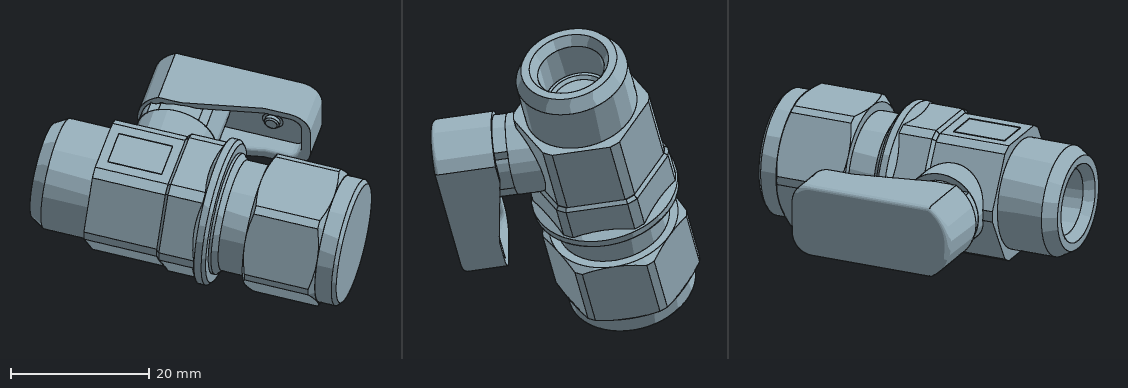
import cadquery as cq
import math

LENGTH = 46.8

INLET_RADIUS = 8.25
INLET_BEVEL_LENGTH = 2.0
INLET_BEVEL_ANGLE = 30.0
BORE_RADIUS = 4.9
BORE_DEPTH = 7.0
BORE_MOUTH_RADIUS = 5.85
BORE_MOUTH_DEPTH = 1.5
FUNNEL_RADIUS = 4.45
FLOOR_RADIUS = 4.0

BODY_HEX_START = 9.05
BODY_HEX_FLATS = 18.0
BODY_HEX_CORNER_RADIUS = 9.95
LARGE_HEX_START = 20.05
LARGE_HEX_FLATS = 19.0
LARGE_HEX_CORNER_RADIUS = 10.55
HEX_STEP = (LARGE_HEX_FLATS - BODY_HEX_FLATS) / 2
FLANGE_RADIUS = 10.8
FLANGE_CONE_START = 25.15
FLANGE_RIM_START = 25.95
FLANGE_END = 27.5
FLANGE_CHAMFER = 0.5
PANEL_LENGTH = 8.15
PANEL_WIDTH = 5.48
PANEL_DEPTH = 0.1
PANEL_CENTER_X = (BODY_HEX_START + LARGE_HEX_START) / 2

STEM_X = 16.5
BOSS_RADIUS = 6.0
BOSS_TOP = 11.5
STEM_RADIUS = 4.95
STOP_RADIUS = 5.95
STOP_WIDTH = 7.8

RETAINER_COLLAR_RADIUS = 9.0
RETAINER_COLLAR_LENGTH = 0.4
RETAINER_CONE_LENGTH = 0.85

NUT_START = 32.8
NUT_HEX_LENGTH = 10.95
NUT_CORNER_RADIUS = 10.62
NUT_CHAMFER_LENGTH = 0.65
NUT_RING_RADIUS = 9.4
NUT_RING_CHAMFER = 0.55

HANDLE_TOP = 22.5
HANDLE_BOTTOM = 13.5
HANDLE_TIP_BOTTOM = 15.95
HANDLE_WIDTH = 11.15
HANDLE_HEEL_RADIUS = 6.5
HANDLE_REACH = 18.85
HANDLE_CORNER_RADIUS = 3.2
HANDLE_TOP_FILLET = 0.75
SLOPE_END = 11.85
POCKET_ROOF = 18.55
HANDLE_WALL = 1.55
POCKET_LIP_FILLET = 0.7
RIM_MARGIN = 0.15

PIN_OFFSET = 12.4
PIN_SEAT_RADIUS = 1.55
PIN_SEAT_DEPTH = 0.95
PIN_TIP_RADIUS = 1.1
PIN_TIP_LENGTH = 0.8
PIN_TIP_CHAMFER = 0.25


def revolve_about_pipe(points):
    """Solid of revolution about X from (x, radius) points."""
    return cq.Workplane("XY").polyline(points).close().revolve(360, (0, 0, 0), (1, 0, 0))


def hexagon_bar(start, length, flats, corner_radius):
    """Hexagonal bar along X, flats facing +Z and -Z, with cylindrical corners."""
    plane = cq.Workplane("YZ").workplane(offset=start)
    corners = plane.circle(corner_radius).extrude(length)
    bar = plane.polygon(6, flats / math.cos(math.pi / 6)).extrude(length)
    return bar.intersect(corners)


def stem_cylinder(radius, bottom, top):
    """Cylinder on the stem axis between two heights along Y."""
    axis = cq.Plane(origin=(STEM_X, bottom, 0), xDir=(1, 0, 0), normal=(0, 1, 0))
    return cq.Workplane(axis).circle(radius).extrude(top - bottom)


def make_housing():
    bevel = INLET_BEVEL_LENGTH * math.tan(math.radians(INLET_BEVEL_ANGLE))
    inlet = revolve_about_pipe([
        (0, 0),
        (0, INLET_RADIUS - bevel),
        (INLET_BEVEL_LENGTH, INLET_RADIUS),
        (LARGE_HEX_START, INLET_RADIUS),
        (LARGE_HEX_START, 0),
    ])
    body_hex = hexagon_bar(
        BODY_HEX_START, LARGE_HEX_START - BODY_HEX_START, BODY_HEX_FLATS, BODY_HEX_CORNER_RADIUS
    )
    large_hex = hexagon_bar(
        LARGE_HEX_START, FLANGE_RIM_START - LARGE_HEX_START, LARGE_HEX_FLATS, LARGE_HEX_CORNER_RADIUS
    )
    large_hex = large_hex.faces("<X").chamfer(HEX_STEP)
    flange = revolve_about_pipe([
        (FLANGE_CONE_START, 0),
        (FLANGE_CONE_START, LARGE_HEX_FLATS / 2),
        (FLANGE_RIM_START, FLANGE_RADIUS),
        (FLANGE_END - FLANGE_CHAMFER, FLANGE_RADIUS),
        (FLANGE_END, FLANGE_RADIUS - FLANGE_CHAMFER),
        (FLANGE_END, 0),
    ])
    boss = stem_cylinder(BOSS_RADIUS, 0, BOSS_TOP)
    bore = revolve_about_pipe([
        (0, 0),
        (0, BORE_MOUTH_RADIUS),
        (BORE_MOUTH_DEPTH, BORE_RADIUS),
        (BORE_DEPTH, BORE_RADIUS),
        (BORE_DEPTH, FUNNEL_RADIUS),
        (BORE_DEPTH + FUNNEL_RADIUS - FLOOR_RADIUS, FLOOR_RADIUS),
        (BORE_DEPTH + FUNNEL_RADIUS - FLOOR_RADIUS, 0),
    ])
    panel = (
        cq.Workplane("XY")
        .workplane(offset=BODY_HEX_FLATS / 2 - PANEL_DEPTH)
        .center(PANEL_CENTER_X, 0)
        .rect(PANEL_LENGTH, PANEL_WIDTH)
        .extrude(2 * PANEL_DEPTH)
    )
    return inlet.union(body_hex).union(large_hex).union(flange).union(boss).cut(bore).cut(panel)


def make_retainer():
    collar_end = FLANGE_END + RETAINER_COLLAR_LENGTH
    neck_start = collar_end + RETAINER_CONE_LENGTH
    return revolve_about_pipe([
        (FLANGE_END, 0),
        (FLANGE_END, RETAINER_COLLAR_RADIUS),
        (collar_end, RETAINER_COLLAR_RADIUS),
        (neck_start, INLET_RADIUS),
        (NUT_START, INLET_RADIUS),
        (NUT_START, 0),
    ])


def make_nut():
    hex_end = NUT_START + NUT_HEX_LENGTH
    blank = hexagon_bar(NUT_START, NUT_HEX_LENGTH, LARGE_HEX_FLATS, NUT_CORNER_RADIUS)
    envelope = revolve_about_pipe([
        (NUT_START, 0),
        (NUT_START, LARGE_HEX_FLATS / 2),
        (NUT_START + NUT_CHAMFER_LENGTH, NUT_CORNER_RADIUS),
        (hex_end - NUT_CHAMFER_LENGTH, NUT_CORNER_RADIUS),
        (hex_end, LARGE_HEX_FLATS / 2),
        (hex_end, 0),
    ])
    ring = revolve_about_pipe([
        (hex_end, 0),
        (hex_end, NUT_RING_RADIUS),
        (LENGTH - NUT_RING_CHAMFER, NUT_RING_RADIUS),
        (LENGTH, NUT_RING_RADIUS - NUT_RING_CHAMFER),
        (LENGTH, 0),
    ])
    return blank.intersect(envelope).union(ring)


def make_stem():
    core = stem_cylinder(STEM_RADIUS, BOSS_TOP, POCKET_ROOF)
    stops = stem_cylinder(STOP_RADIUS, BOSS_TOP, POCKET_ROOF)
    slab = cq.Workplane("XY").box(LENGTH, LENGTH, STOP_WIDTH).translate((STEM_X, POCKET_ROOF, 0))
    return core.union(stops.intersect(slab))


def handle_plan(bottom, top, inset):
    """Prism of the handle plan, offset inwards: an arc round the stem, a bar and a rounded tip."""
    heel_radius = HANDLE_HEEL_RADIUS - inset
    half_width = HANDLE_WIDTH / 2 - inset
    reach = HANDLE_REACH - inset
    heel_start = -math.sqrt(heel_radius**2 - half_width**2)
    plane = cq.Plane(origin=(STEM_X, bottom, 0), xDir=(1, 0, 0), normal=(0, 1, 0))
    return (
        cq.Workplane(plane)
        .moveTo(heel_start, half_width)
        .threePointArc((-heel_radius, 0), (heel_start, -half_width))
        .lineTo(reach, -half_width)
        .lineTo(reach, half_width)
        .close()
        .extrude(top - bottom)
        .edges("|Y and >X")
        .fillet(HANDLE_CORNER_RADIUS - inset)
    )


def make_handle(stem, pin):
    blank = handle_plan(HANDLE_BOTTOM, HANDLE_TOP, 0).faces(">Y").edges().fillet(HANDLE_TOP_FILLET)
    pocket = handle_plan(HANDLE_BOTTOM, POCKET_ROOF, HANDLE_WALL)
    clearance = (
        cq.Workplane("XY")
        .moveTo(STEM_X, HANDLE_BOTTOM)
        .lineTo(STEM_X + SLOPE_END, HANDLE_TIP_BOTTOM)
        .lineTo(LENGTH, HANDLE_TIP_BOTTOM)
        .lineTo(LENGTH, HANDLE_BOTTOM)
        .close()
        .extrude(HANDLE_WIDTH, both=True)
    )
    shell = blank.cut(clearance).cut(pocket)
    inner_half_width = HANDLE_WIDTH / 2 - HANDLE_WALL + RIM_MARGIN
    pocket_rim = cq.selectors.BoxSelector(
        (STEM_X - HANDLE_HEEL_RADIUS + HANDLE_WALL, HANDLE_BOTTOM - RIM_MARGIN, -inner_half_width),
        (STEM_X + HANDLE_REACH - RIM_MARGIN, HANDLE_TIP_BOTTOM + RIM_MARGIN, inner_half_width),
    )
    shell = shell.edges(pocket_rim).edges("not |Y").fillet(POCKET_LIP_FILLET)
    return shell.cut(stem).cut(pin)


def make_pin():
    axis = cq.Plane(origin=(STEM_X + PIN_OFFSET, POCKET_ROOF, 0), xDir=(1, 0, 0), normal=(0, 1, 0))
    seat = cq.Workplane(axis).circle(PIN_SEAT_RADIUS).extrude(PIN_SEAT_DEPTH)
    tip = cq.Workplane(axis).circle(PIN_TIP_RADIUS).extrude(-PIN_TIP_LENGTH)
    return seat.union(tip.faces("<Y").chamfer(PIN_TIP_CHAMFER))


housing = make_housing()
retainer = make_retainer()
nut = make_nut()
stem = make_stem()
pin = make_pin()
handle = make_handle(stem, pin)

result = cq.Compound.makeCompound(
    [housing.val(), retainer.val(), nut.val(), stem.val(), handle.val(), pin.val()]
)